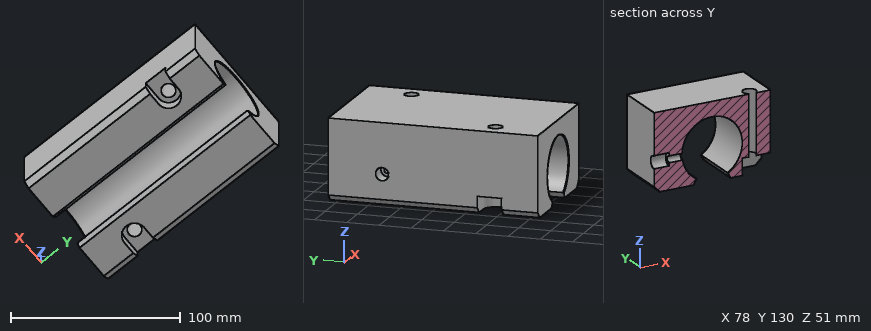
import cadquery as cq
import math

WIDTH = 78.0
LENGTH = 130.0
HEIGHT = 51.0
LOWER_CHAMFER = 4.0

BORE_DIAMETER = 40.0
BORE_AXIS_Z = 21.0
BORE_EDGE_CHAMFER = 0.5
OPENING_ANGLE = 61.3

MOUNT_X = 27.0
MOUNT_Y = 35.0
MOUNT_HOLE_DIAMETER = 8.6
HEAD_SLOT_WIDTH = 15.0
HEAD_SLOT_HEIGHT = 11.0

PORT_Y = 31.5
PORT_Z = 19.5
PORT_DIAMETER = 8.0
PORT_DEPTH = 10.0
PORT_PASSAGE_DIAMETER = 4.0


def make_block():
    """Rectangular block with its two long lower edges chamfered."""
    block = cq.Workplane("XY").box(WIDTH, LENGTH, HEIGHT, centered=(True, True, False))
    return block.edges("|Y and <Z").chamfer(LOWER_CHAMFER)


def make_bore():
    """Through bore that widens conically at both ends."""
    radius = BORE_DIAMETER / 2
    mouth_radius = radius + BORE_EDGE_CHAMFER
    end_y = LENGTH / 2
    cone_start_y = end_y - BORE_EDGE_CHAMFER
    half_section = (
        cq.Workplane("XY", origin=(0, 0, BORE_AXIS_Z))
        .moveTo(0, -end_y)
        .lineTo(mouth_radius, -end_y)
        .lineTo(radius, -cone_start_y)
        .lineTo(radius, cone_start_y)
        .lineTo(mouth_radius, end_y)
        .lineTo(0, end_y)
        .close()
    )
    return half_section.revolve(360, (0, 0, 0), (0, 1, 0))


def make_opening():
    """Wedge from the bore axis down through the underside."""
    half_width = BORE_AXIS_Z * math.tan(math.radians(OPENING_ANGLE / 2))
    return (
        cq.Workplane("XZ")
        .moveTo(0, BORE_AXIS_Z)
        .lineTo(-half_width, 0)
        .lineTo(half_width, 0)
        .close()
        .extrude(LENGTH / 2, both=True)
    )


def make_mount(side):
    """Mounting hole and head slot; side is -1 for -X, -Y and +1 for +X, +Y."""
    x = side * MOUNT_X
    y = side * MOUNT_Y
    side_distance = WIDTH / 2 - MOUNT_X
    hole = cq.Workplane("XY").center(x, y).circle(MOUNT_HOLE_DIAMETER / 2).extrude(HEIGHT)
    round_end = cq.Workplane("XY").center(x, y).circle(HEAD_SLOT_WIDTH / 2).extrude(HEAD_SLOT_HEIGHT)
    straight_run = (
        cq.Workplane("XY")
        .center(x + side * side_distance / 2, y)
        .rect(side_distance, HEAD_SLOT_WIDTH)
        .extrude(HEAD_SLOT_HEIGHT)
    )
    return hole.union(round_end).union(straight_run)


def make_port():
    """Flat-bottomed port with a narrower passage on to the bore axis."""
    entry = cq.Workplane("YZ", origin=(-WIDTH / 2, PORT_Y, PORT_Z))
    port = entry.circle(PORT_DIAMETER / 2).extrude(PORT_DEPTH)
    passage = entry.circle(PORT_PASSAGE_DIAMETER / 2).extrude(WIDTH / 2)
    return port.union(passage)


result = make_block().cut(make_bore()).cut(make_opening()).cut(make_port())
for mount_side in (-1, 1):
    result = result.cut(make_mount(mount_side))